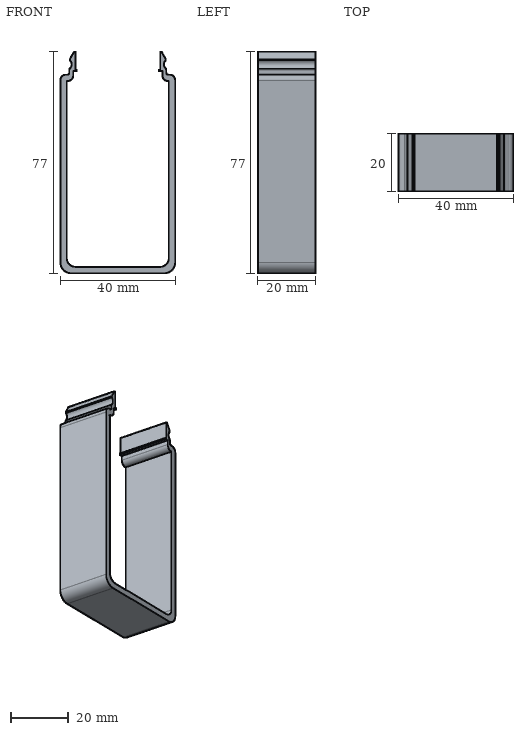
import cadquery as cq
import math

width = 40.0
depth = 20.0
height = 77.0

wall = 2.3
outer_corner_radius = 3.85
inner_corner_radius = 2.9

shoulder_z = height - 7.9
shoulder_radius = 2.0
root_fillet = 0.5

neck_outer = 3.1
neck_inner = 4.55
tongue_inner = 5.3
tip_width = 0.55
tooth_outer = 3.3
tooth_top_z = height - 2.55
tooth_flat = 0.5
groove_bottom_z = height - 5.85
groove_floor = 3.9
neck_edge_width = 0.15
neck_edge_height = 0.5

lip_inner = 5.8
lip_bottom_z = height - 6.8
lip_thickness = 0.55

half_width = width / 2


def arc_middle(center_x, center_z, radius, angle):
    """Point on a circle at the given angle in degrees."""
    turn = math.radians(angle)
    return (center_x + radius * math.cos(turn), center_z + radius * math.sin(turn))


def left_half_profile():
    """Closed XZ outline of the left half, from the bottom middle round the outside."""
    left = -half_width
    neck_x = left + neck_outer
    neck_inner_x = left + neck_inner
    tongue_x = left + tongue_inner
    lip_x = left + lip_inner
    tooth_x = left + tooth_outer
    lip_top_z = lip_bottom_z + lip_thickness
    ledge_z = shoulder_z - wall
    groove_top_z = tooth_top_z - tooth_flat
    groove_middle_z = (groove_top_z + groove_bottom_z) / 2
    edge_x = neck_x + neck_edge_width
    edge_end_z = groove_bottom_z - neck_edge_height

    return (
        cq.Workplane("XZ")
        .moveTo(0, 0)
        .lineTo(left + outer_corner_radius, 0)
        .threePointArc(
            arc_middle(left + outer_corner_radius, outer_corner_radius, outer_corner_radius, 225),
            (left, outer_corner_radius),
        )
        .lineTo(left, shoulder_z - shoulder_radius)
        .threePointArc(
            arc_middle(left + shoulder_radius, shoulder_z - shoulder_radius, shoulder_radius, 135),
            (left + shoulder_radius, shoulder_z),
        )
        .lineTo(neck_x - root_fillet, shoulder_z)
        .threePointArc(
            arc_middle(neck_x - root_fillet, shoulder_z + root_fillet, root_fillet, -45),
            (neck_x, shoulder_z + root_fillet),
        )
        .lineTo(neck_x, edge_end_z)
        .lineTo(edge_x, groove_bottom_z)
        .threePointArc((left + groove_floor, groove_middle_z), (tooth_x, groove_top_z))
        .lineTo(tooth_x, tooth_top_z)
        .lineTo(tongue_x - tip_width, height)
        .lineTo(tongue_x, height)
        .lineTo(tongue_x, lip_top_z)
        .lineTo(lip_x, lip_top_z)
        .lineTo(lip_x, lip_bottom_z)
        .lineTo(neck_inner_x, lip_bottom_z)
        .lineTo(neck_inner_x, ledge_z + shoulder_radius)
        .threePointArc(
            arc_middle(neck_inner_x - shoulder_radius, ledge_z + shoulder_radius, shoulder_radius, -45),
            (neck_inner_x - shoulder_radius, ledge_z),
        )
        .lineTo(left + wall, ledge_z)
        .lineTo(left + wall, wall + inner_corner_radius)
        .threePointArc(
            arc_middle(
                left + wall + inner_corner_radius,
                wall + inner_corner_radius,
                inner_corner_radius,
                225,
            ),
            (left + wall + inner_corner_radius, wall),
        )
        .lineTo(0, wall)
        .close()
    )


left_half = left_half_profile().extrude(depth / 2, both=True)
result = left_half.union(left_half.mirror("YZ")).clean()